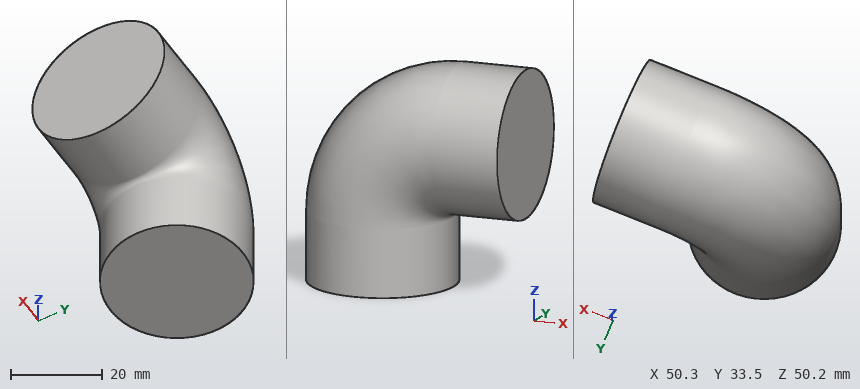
import cadquery as cq

overall_size = 50.25
diameter = 33.5
end_length = 15.6

radius = diameter / 2
bend_radius = overall_size - end_length - radius
bend_angle = 90

lower_end = cq.Workplane("XY").circle(radius).extrude(end_length)

bend = (
    cq.Workplane("XY")
    .workplane(offset=end_length)
    .circle(radius)
    .revolve(bend_angle, (bend_radius, 0), (bend_radius, 1))
)

side_end = (
    cq.Workplane("YZ")
    .workplane(offset=bend_radius)
    .center(0, end_length + bend_radius)
    .circle(radius)
    .extrude(end_length)
)

result = lower_end.union(bend).union(side_end)